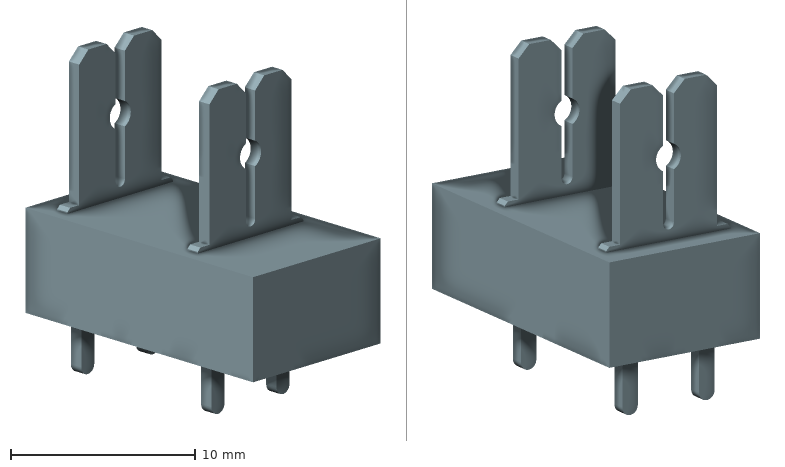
import cadquery as cq

HOUSING_LENGTH = 17.5
HOUSING_WIDTH = 9.8
HOUSING_HEIGHT = 6.0

TERMINAL_THICKNESS = 0.8
TERMINAL_PITCH = 10.0
FIRST_TERMINAL_INSET = 2.0
first_terminal_x = -HOUSING_LENGTH / 2 + FIRST_TERMINAL_INSET
terminal_positions = [first_terminal_x, first_terminal_x + TERMINAL_PITCH]

BLADE_WIDTH = 6.3
BLADE_HEIGHT = 9.01
TIP_CHAMFER = 0.7
SLOT_WIDTH = 0.7
SLOT_FLOOR_HEIGHT = 0.63
HOLE_DIAMETER = 1.61
HOLE_DROP = 4.3
blade_top = HOUSING_HEIGHT + BLADE_HEIGHT
slot_floor = HOUSING_HEIGHT + SLOT_FLOOR_HEIGHT
hole_height = blade_top - HOLE_DROP
prong_width = (BLADE_WIDTH - SLOT_WIDTH) / 2

SHOULDER_LENGTH = 8.1
SHOULDER_HEIGHT = 0.3
SHOULDER_CHAMFER = 0.2
shoulder_top = HOUSING_HEIGHT + SHOULDER_HEIGHT

LEG_WIDTH = 1.0
LEG_PITCH = 5.0
LEG_LENGTH = 3.5


def plate(y_size, bottom, top, y_center=0):
    """Upright rectangular plate of terminal thickness, centred on X = 0."""
    height = top - bottom
    return cq.Workplane("XY").box(TERMINAL_THICKNESS, y_size, height).translate(
        (0, y_center, bottom + height / 2)
    )


def cross_cylinder(diameter, height, y_center=0):
    """Cylinder along X, as long as the terminal is thick, centred on X = 0."""
    return (
        cq.Workplane("YZ", origin=(-TERMINAL_THICKNESS / 2, y_center, height))
        .circle(diameter / 2)
        .extrude(TERMINAL_THICKNESS)
    )


def make_blade():
    """Two prongs with chamfered tips, joined below a round-floored slot with a round hole."""
    blade = plate(BLADE_WIDTH, HOUSING_HEIGHT, slot_floor + SLOT_WIDTH)
    prong_offset = (SLOT_WIDTH + prong_width) / 2
    for side in (-1, 1):
        prong = plate(prong_width, HOUSING_HEIGHT, blade_top, side * prong_offset)
        blade = blade.union(prong.faces(">Z").edges("|X").chamfer(TIP_CHAMFER))
    slot_arc_height = slot_floor + SLOT_WIDTH / 2
    blade = blade.cut(plate(SLOT_WIDTH, slot_arc_height, blade_top))
    blade = blade.cut(cross_cylinder(SLOT_WIDTH, slot_arc_height))
    return blade.cut(cross_cylinder(HOLE_DIAMETER, hole_height))


def make_shoulder():
    """Bar with chamfered upper ends across the foot of the blade."""
    bar = plate(SHOULDER_LENGTH, HOUSING_HEIGHT, shoulder_top)
    return bar.faces(">Z").edges("|X").chamfer(SHOULDER_CHAMFER)


def make_leg(y_center):
    """Leg from the shoulder down through the housing, with a full round at its tip."""
    round_center = -LEG_LENGTH + LEG_WIDTH / 2
    shank = plate(LEG_WIDTH, round_center, shoulder_top, y_center)
    return shank.union(cross_cylinder(LEG_WIDTH, round_center, y_center))


def make_terminal(x_position):
    """Complete terminal: blade, shoulder and two legs in one piece."""
    terminal = make_blade().union(make_shoulder())
    for side in (-1, 1):
        terminal = terminal.union(make_leg(side * LEG_PITCH / 2))
    return terminal.translate((x_position, 0, 0))


def make_housing(terminals):
    """Block with through holes matching the legs of each terminal."""
    housing = cq.Workplane("XY").box(
        HOUSING_LENGTH, HOUSING_WIDTH, HOUSING_HEIGHT, centered=(True, True, False)
    )
    for terminal in terminals:
        housing = housing.cut(terminal)
    return housing


terminals = [make_terminal(x) for x in terminal_positions]
housing = make_housing(terminals)

result = cq.Compound.makeCompound([housing.val(), *[terminal.val() for terminal in terminals]])